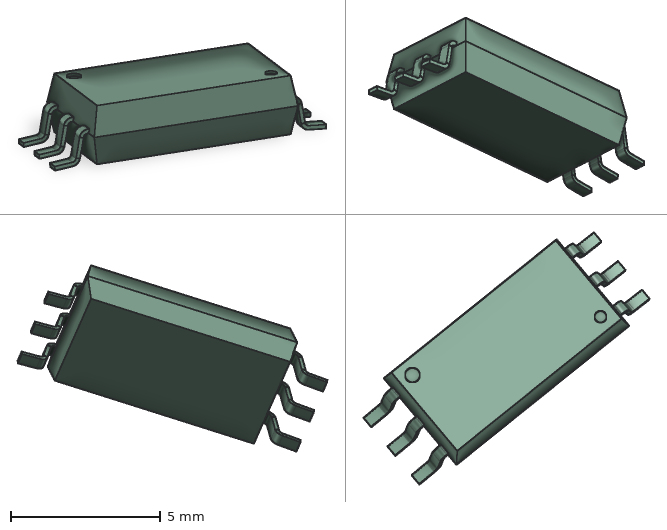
import cadquery as cq
import math

housing_width = 3.84
housing_length = 7.5
housing_height = 2.1
parting_height = housing_height / 2
draft_angle = 10.0

dimple_depth = 0.1
large_dimple_diameter = 0.5
small_dimple_diameter = 0.4
dimple_offset_x = 1.23
dimple_offset_y = 3.07

lead_span = 10.0
leads_per_end = 3
lead_pitch = 1.27
lead_width = 0.4
shank_width = 0.42
lead_thickness = 0.15
bend_inner_radius = 0.15
bend_outer_radius = bend_inner_radius + lead_thickness
shank_lean = 10.0
foot_slope = 5.0
foot_length = 0.65
foot_drop = 0.1


def polar(center, radius, degrees):
    """Point at a radius and angle from a center in the lead's side plane."""
    angle = math.radians(degrees)
    return (center[0] + radius * math.cos(angle), center[1] + radius * math.sin(angle))


def make_housing_half(height):
    """Half housing tapering from the parting plane; a negative height goes downward."""
    return (
        cq.Workplane("XY")
        .workplane(offset=parting_height)
        .rect(housing_width, housing_length)
        .extrude(height, taper=draft_angle)
    )


def cut_dimple(body, x, y, diameter):
    """Sink a flat-bottomed round dimple into the housing top."""
    cutter = (
        cq.Workplane("XY")
        .workplane(offset=housing_height)
        .center(x, y)
        .circle(diameter / 2)
        .extrude(-dimple_depth)
    )
    return body.cut(cutter)


def make_housing():
    upper_half = make_housing_half(housing_height - parting_height)
    lower_half = make_housing_half(-parting_height)
    body = upper_half.union(lower_half)
    body = cut_dimple(body, -dimple_offset_x, -dimple_offset_y, large_dimple_diameter)
    body = cut_dimple(body, dimple_offset_x, dimple_offset_y, small_dimple_diameter)
    return body.solids()


def make_lead(x):
    """Lead at the +Y end, centered on x; its profile lies in the YZ plane."""
    shank_normal = shank_lean
    foot_normal = 90 - foot_slope

    tip_top = (
        lead_span / 2,
        -foot_drop + lead_thickness * math.sin(math.radians(foot_normal)),
    )
    tip_bottom = polar(tip_top, -lead_thickness, foot_normal)
    foot_top_start = polar(tip_top, -foot_length, -foot_slope)
    lower_center = polar(foot_top_start, bend_inner_radius, foot_normal)

    upper_center_z = parting_height - bend_inner_radius
    lean = math.radians(shank_lean)
    bend_radii = bend_inner_radius + bend_outer_radius
    shank_drop = upper_center_z - lower_center[1] + bend_radii * math.sin(lean)
    upper_center_y = lower_center[0] - bend_radii * math.cos(lean) - shank_drop * math.tan(lean)
    upper_center = (upper_center_y, upper_center_z)

    root_bottom = (housing_length / 2, parting_height)
    root_top = (
        root_bottom[0] - lead_thickness * math.tan(math.radians(draft_angle)),
        parting_height + lead_thickness,
    )

    upper_mid = (90 + shank_normal) / 2
    lower_start = 180 + shank_normal
    lower_end = 180 + foot_normal
    lower_mid = (lower_start + lower_end) / 2

    shank_outer_top = polar(upper_center, bend_outer_radius, shank_normal)
    shank_outer_bottom = polar(lower_center, bend_inner_radius, lower_start)
    shank_inner_bottom = polar(lower_center, bend_outer_radius, lower_start)
    shank_inner_top = polar(upper_center, bend_inner_radius, shank_normal)

    side_plane = cq.Workplane("YZ", origin=(x, 0, 0))
    strip = (
        side_plane
        .moveTo(*root_top)
        .lineTo(*polar(upper_center, bend_outer_radius, 90))
        .threePointArc(
            polar(upper_center, bend_outer_radius, upper_mid),
            shank_outer_top,
        )
        .lineTo(*shank_outer_bottom)
        .threePointArc(polar(lower_center, bend_inner_radius, lower_mid), foot_top_start)
        .lineTo(*tip_top)
        .lineTo(*tip_bottom)
        .lineTo(*polar(lower_center, bend_outer_radius, lower_end))
        .threePointArc(
            polar(lower_center, bend_outer_radius, lower_mid),
            shank_inner_bottom,
        )
        .lineTo(*shank_inner_top)
        .threePointArc(
            polar(upper_center, bend_inner_radius, upper_mid),
            polar(upper_center, bend_inner_radius, 90),
        )
        .lineTo(*root_bottom)
        .close()
        .extrude(lead_width / 2, both=True)
    )
    shank = (
        side_plane
        .polyline([shank_outer_top, shank_outer_bottom, shank_inner_bottom, shank_inner_top])
        .close()
        .extrude(shank_width / 2, both=True)
    )
    return strip.union(shank).solids()


housing = make_housing()

leads = []
for index in range(leads_per_end):
    lead_x = (index - (leads_per_end - 1) / 2) * lead_pitch
    lead = make_lead(lead_x)
    leads.append(lead.val())
    leads.append(lead.val().mirror("XZ"))

result = cq.Compound.makeCompound([housing.val(), *leads])